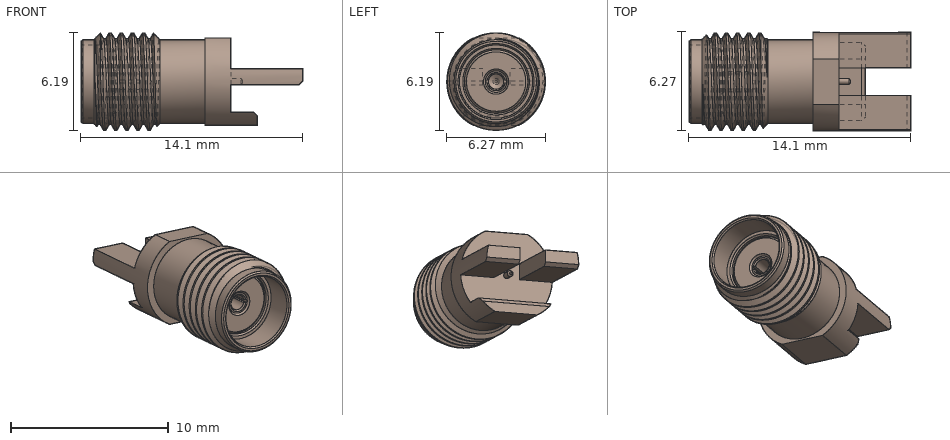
import cadquery as cq
import math


overall_length = 14.08
barrel_dia = 5.33
barrel_chamfer = 0.10
thread_start = 0.80
thread_end = 5.00
thread_crest_dia = 6.19
thread_root_dia = 5.46
thread_pitch = 25.4 / 36
thread_half_angle = 30
thread_crest_flat = 0.14
ridge_foot_sink = 0.05
ridge_start = 0.08
ridge_turns = 8.3
core_overrun = 2 * thread_pitch
flange_start = 7.85
flange_end = 9.50
flange_dia = 6.27
flange_flat_height = 2.78

side_leg_top = 0.82
side_leg_bottom = -0.20
side_leg_gap = 1.74
lower_leg_top = -1.93
lower_leg_end = 11.18
leg_chamfer = 0.24
pin_dia = 0.39
pin_end = 10.25
pin_chamfer = 0.12

bore_dia = 4.65
bore_chamfer = 0.09
shoulder_depth = 1.90
insulator_dia = 4.03
shoulder_chamfer = 0.10
insulator_depth = 2.05
insulator_chamfer = 0.13

socket_dia = 1.37
socket_lead_in = 0.115
contact_depth = insulator_depth + socket_lead_in
contact_hole_dia = 0.97
contact_hole_chamfer = 0.09
contact_hole_length = 2.00
slot_width = 0.20
slot_length = 1.60
slot_span = 1.30
drill_point_angle = 118


def revolve_about_x(points):
    """Revolve a closed (x, radius) outline a full turn about the X axis."""
    return cq.Workplane("XY").polyline(points).close().revolve(360, (0, 0, 0), (1, 0, 0))


def cylinder_x(diameter, start, end):
    return cq.Workplane("YZ", origin=(start, 0, 0)).circle(diameter / 2).extrude(end - start)


def block(x_range, y_range, z_range):
    """Axis-aligned box given by its (low, high) limits."""
    limits = (x_range, y_range, z_range)
    sizes = [high - low for low, high in limits]
    corner = tuple(low for low, high in limits)
    return cq.Workplane("XY").box(*sizes, centered=False).translate(corner)


def thread_ridge():
    """Right-handed helical ridge with sloping flanks, its foot sunk into the thread core."""
    crest_radius = thread_crest_dia / 2
    foot_radius = thread_root_dia / 2 - ridge_foot_sink
    flank_slope = math.tan(math.radians(thread_half_angle))
    crest_half_width = thread_crest_flat / 2
    foot_half_width = crest_half_width + (crest_radius - foot_radius) * flank_slope

    helix = cq.Wire.makeHelix(thread_pitch, ridge_turns * thread_pitch, thread_root_dia / 2)
    profile = cq.Workplane("XZ").polyline([
        (foot_radius, -foot_half_width),
        (crest_radius, -crest_half_width),
        (crest_radius, crest_half_width),
        (foot_radius, foot_half_width),
    ]).close()
    ridge = profile.sweep(cq.Workplane(helix), isFrenet=True)
    return ridge.rotate((0, 0, 0), (0, 1, 0), 90).translate((ridge_start, 0, 0))


def threaded_section():
    """Ridged core trimmed to length, with 45 degree ends down to the barrel."""
    barrel_radius = barrel_dia / 2
    crest_radius = thread_crest_dia / 2
    end_chamfer = crest_radius - barrel_radius
    envelope = revolve_about_x([
        (thread_start, 0),
        (thread_start, barrel_radius),
        (thread_start + end_chamfer, crest_radius),
        (thread_end - end_chamfer, crest_radius),
        (thread_end, barrel_radius),
        (thread_end, 0),
    ])
    core = cylinder_x(thread_root_dia, thread_start - core_overrun, thread_end + core_overrun)
    return core.union(thread_ridge()).intersect(envelope)


def flange_and_legs():
    """Round flange with top and bottom flats, its legs cut from the same section."""
    radius = flange_dia / 2
    full_width = (-radius, radius)
    section = cylinder_x(flange_dia, flange_start, overall_length).intersect(
        block((flange_start, overall_length), full_width, (-flange_flat_height, flange_flat_height))
    )
    flange = block((flange_start, flange_end), full_width, full_width)
    side_legs = block((flange_start, overall_length), full_width, (side_leg_bottom, side_leg_top))
    side_legs = side_legs.faces(">X").edges("<Z").chamfer(leg_chamfer)
    gap = block((flange_end, overall_length), (-side_leg_gap / 2, side_leg_gap / 2),
                (side_leg_bottom, side_leg_top))
    lower_leg = block((flange_start, lower_leg_end), full_width, (-radius, lower_leg_top))
    lower_leg = lower_leg.faces(">X").edges(">Z").chamfer(leg_chamfer)
    return section.intersect(flange.union(side_legs.cut(gap)).union(lower_leg))


def solder_pin():
    return cylinder_x(pin_dia, flange_start, pin_end).faces(">X").chamfer(pin_chamfer)


def mating_bore():
    """Stepped bore down to the bevelled front of the insulator."""
    bore_radius = bore_dia / 2
    insulator_radius = insulator_dia / 2
    return revolve_about_x([
        (0, 0),
        (0, bore_radius + bore_chamfer),
        (bore_chamfer, bore_radius),
        (shoulder_depth, bore_radius),
        (shoulder_depth, insulator_radius + shoulder_chamfer),
        (shoulder_depth + shoulder_chamfer, insulator_radius),
        (insulator_depth + insulator_chamfer, insulator_radius),
        (insulator_depth, insulator_radius - insulator_chamfer),
        (insulator_depth, 0),
    ])


def contact_socket():
    """Insulator lead-in, drilled contact hole and contact slot, as one cutting body."""
    socket_radius = socket_dia / 2
    hole_radius = contact_hole_dia / 2
    slot_end = contact_depth + slot_length
    hole_end = contact_depth + contact_hole_length
    point_length = hole_radius / math.tan(math.radians(drill_point_angle / 2))

    lead_in = revolve_about_x([
        (insulator_depth, 0),
        (insulator_depth, socket_radius + socket_lead_in),
        (contact_depth, socket_radius),
        (contact_depth, 0),
    ])
    hole = revolve_about_x([
        (contact_depth, 0),
        (contact_depth, hole_radius + contact_hole_chamfer),
        (contact_depth + contact_hole_chamfer, hole_radius),
        (hole_end, hole_radius),
        (hole_end + point_length, 0),
    ])
    slot = block((contact_depth, slot_end), (-slot_span / 2, slot_span / 2),
                 (-slot_width / 2, slot_width / 2))
    slot = slot.intersect(cylinder_x(slot_span, contact_depth, slot_end))
    return lead_in.union(hole).union(slot)


barrel = cylinder_x(barrel_dia, 0, flange_end).faces("<X").chamfer(barrel_chamfer)
body = barrel.union(threaded_section()).union(flange_and_legs()).union(solder_pin())
result = body.cut(mating_bore()).cut(contact_socket())